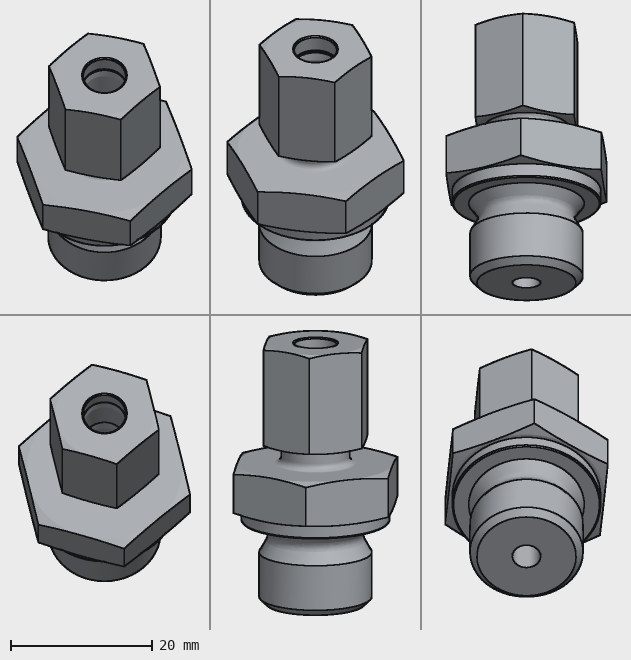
import cadquery as cq
import math


total_height = 38.0
tube_diameter = 6.0
flow_diameter = 4.0
hex_chamfer_angle = 15.0
neck_fillet_radius = 1.0
undercut_angle = 30.0
small_chamfer = 0.2

stud_thread_diameter = 16.0
stud_thread_top = 7.5
stud_end_chamfer = 1.0
collar_diameter = 21.0
collar_bottom = 12.0
collar_underside_diameter = 16.35
undercut_root_radius = 1.18
collar_flank_angle = 37.0

stud_hex_flats = 22.0
stud_hex_bottom = 14.0
stud_hex_top = 20.52
neck_diameter = 9.7
neck_top = 23.18
nut_thread_diameter = 12.0
stud_top = 32.0
cone_mouth_diameter = 8.0
cone_half_angle = 12.0
tube_socket_depth = 7.0

nut_hex_flats = 14.0
nut_height = 14.5
nut_seat_depth = 2.4

ring_diameter = 9.0
ring_top_depth = 3.0
ring_mouth_diameter = 6.45
ring_nose_diameter = 6.85


def slope(angle):
    return math.tan(math.radians(angle))


def revolved(points):
    """Solid of revolution about Z from a closed (radius, height) outline."""
    return cq.Workplane("XZ").polyline(points).close().revolve(360, (0, 0), (0, 1))


def chamfered_hexagon(flats, bottom, top):
    """Hexagon with corners on the Y axis, both ends turned down to a circle touching the flats."""
    flat_radius = flats / 2
    corner_radius = flat_radius / math.cos(math.radians(30))
    drop = (corner_radius - flat_radius) * slope(hex_chamfer_angle)
    prism = (
        cq.Workplane("XY", origin=(0, 0, bottom))
        .polygon(6, 2 * corner_radius)
        .extrude(top - bottom)
        .rotate((0, 0, 0), (0, 0, 1), 30)
    )
    turned_envelope = revolved([
        (0, bottom),
        (flat_radius, bottom),
        (corner_radius, bottom + drop),
        (corner_radius, top - drop),
        (flat_radius, top),
        (0, top),
    ])
    return prism.intersect(turned_envelope)


def circle_at(radius, height):
    """Selector for the circular edge of this radius at this height."""
    reach = radius + 0.05
    return cq.selectors.BoxSelector(
        (-reach, -reach, height - 0.05), (reach, reach, height + 0.05), boundingbox=True
    )


def make_screw_in_end():
    """Threaded end, V-shaped undercut with a rounded root, and sealing collar."""
    thread_radius = stud_thread_diameter / 2
    collar_radius = collar_diameter / 2
    underside_radius = collar_underside_diameter / 2
    lower_slope = slope(undercut_angle)
    upper_slope = slope(collar_flank_angle)
    root_above_thread = (
        thread_radius - underside_radius + (collar_bottom - stud_thread_top) * upper_slope
    ) / (lower_slope + upper_slope)
    root_height = stud_thread_top + root_above_thread
    root_radius = thread_radius - root_above_thread * lower_slope
    end = revolved([
        (0, 0),
        (thread_radius - stud_end_chamfer, 0),
        (thread_radius, stud_end_chamfer),
        (thread_radius, stud_thread_top),
        (root_radius, root_height),
        (underside_radius, collar_bottom),
        (collar_radius - small_chamfer, collar_bottom),
        (collar_radius, collar_bottom + small_chamfer),
        (collar_radius, stud_hex_bottom),
        (0, stud_hex_bottom),
    ])
    return end.edges(circle_at(root_radius, root_height)).fillet(undercut_root_radius)


def make_nut_end():
    """Neck and thread that carry the union nut, rising from the stud's hexagon."""
    neck_radius = neck_diameter / 2
    thread_radius = nut_thread_diameter / 2
    thread_start = neck_top + (thread_radius - neck_radius) / slope(undercut_angle)
    end = revolved([
        (0, stud_hex_top),
        (neck_radius, stud_hex_top),
        (neck_radius, neck_top),
        (thread_radius, thread_start),
        (thread_radius, stud_top),
        (0, stud_top),
    ])
    return end.edges(circle_at(neck_radius, neck_top)).fillet(neck_fillet_radius)


def make_stud_bore():
    """Cone for the ring, tube socket with a flat stop, and the flow bore through the stud."""
    mouth_radius = cone_mouth_diameter / 2
    tube_radius = tube_diameter / 2
    flow_radius = flow_diameter / 2
    cone_bottom = stud_top - (mouth_radius - tube_radius) / slope(cone_half_angle)
    tube_stop = stud_top - tube_socket_depth
    return revolved([
        (0, 0),
        (flow_radius, 0),
        (flow_radius, tube_stop),
        (tube_radius, tube_stop),
        (tube_radius, cone_bottom),
        (mouth_radius, stud_top),
        (0, stud_top),
    ])


def make_stud():
    hexagon = chamfered_hexagon(stud_hex_flats, stud_hex_bottom, stud_hex_top)
    solid = make_screw_in_end().union(hexagon).union(make_nut_end())
    solid = solid.edges(circle_at(neck_diameter / 2, stud_hex_top)).fillet(neck_fillet_radius)
    return solid.cut(make_stud_bore())


def make_nut():
    nut_bottom = total_height - nut_height
    seat_top = total_height - nut_seat_depth
    tube_radius = tube_diameter / 2
    thread_radius = nut_thread_diameter / 2
    seat_bottom = seat_top - (thread_radius - tube_radius)
    bore = revolved([
        (0, nut_bottom),
        (thread_radius, nut_bottom),
        (thread_radius, seat_bottom),
        (tube_radius, seat_top),
        (tube_radius, total_height - small_chamfer),
        (tube_radius + small_chamfer, total_height),
        (0, total_height),
    ])
    return chamfered_hexagon(nut_hex_flats, nut_bottom, total_height).cut(bore)


def make_cutting_ring():
    """Ring with a 45 degree shoulder against the nut and a tapered nose in the stud's cone."""
    tube_radius = tube_diameter / 2
    ring_radius = ring_diameter / 2
    cone_radius = cone_mouth_diameter / 2
    nose_radius = ring_nose_diameter / 2
    mouth_radius = ring_mouth_diameter / 2
    ring_top = total_height - ring_top_depth
    top_radius = tube_radius + ring_top_depth - nut_seat_depth
    shoulder_bottom = ring_top - (ring_radius - top_radius)
    nose_bottom = stud_top - (cone_radius - nose_radius) / slope(cone_half_angle)
    mouth_bottom = ring_top - (mouth_radius - tube_radius) / slope(cone_half_angle)
    return revolved([
        (tube_radius, nose_bottom),
        (nose_radius, nose_bottom),
        (cone_radius, stud_top),
        (ring_radius, stud_top),
        (ring_radius, shoulder_bottom),
        (top_radius, ring_top),
        (mouth_radius, ring_top),
        (tube_radius, mouth_bottom),
    ])


stud = make_stud()
nut = make_nut()
cutting_ring = make_cutting_ring()

result = cq.Compound.makeCompound([stud.solids().val(), nut.solids().val(), cutting_ring.solids().val()])